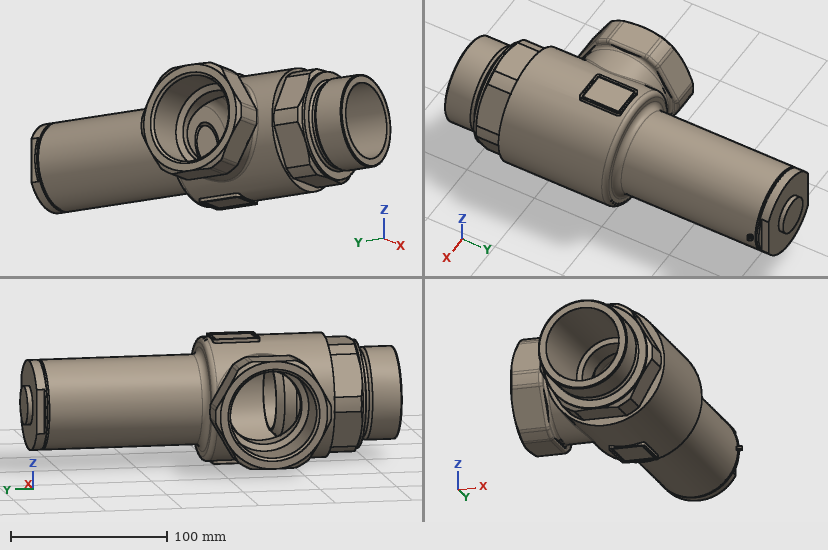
import cadquery as cq
import math


total_length = 241.0
thread_top = 19.3
relief_start = 21.2
relief_end = 23.1
collar_face = 24.8
hex_chamfer_start = 26.5
chamber_body_start = 46.0
chamber_body_end = 125.8
sleeve_end = 231.0
cap_flange_end = 232.5
cap_end = 237.6

thread_radius = 30.0
thread_chamfer = 0.7
relief_radius = 28.2
collar_root_radius = 29.6
body_radius = 40.0
body_rim_fillet = 3.4
sleeve_radius = 29.0
sleeve_root_fillet = 4.5
sleeve_chamfer = 1.2

hex_flats = 70.0
hex_corner_radius = 37.8
hex_chamfer_radius = 35.0
hex_chamfer_angle = math.radians(30)

inlet_bore_radius = 24.5
inlet_bore_depth = 62.7
orifice_radius = 20.7
chamber_radius = 32.5
chamber_floor = 62.7
chamber_roof = 120.3
chamber_roof_fillet = 7.2
nozzle_base_radius = 29.6
nozzle_shoulder = 68.7
nozzle_waist_radius = 26.3
nozzle_waist = 76.0
nozzle_tip_radius = 21.7
nozzle_tip = 80.5
guide_bore_radius = 14.7

branch_y = 91.0
branch_face_x = -67.0
branch_hex_length = 22.0
branch_hex_back_fillet = 2.2
branch_hex_edge_fillet = 5.3
branch_neck_radius = 32.3
branch_collar_fillet = 2.2
branch_root_fillet = 2.2
socket_mouth_radius = 30.0
socket_radius = 28.2
socket_depth = 27.7
socket_cone_angle = math.radians(27)
branch_bore_radius = 24.0

plate_width = 24.0
plate_length = 30.4
plate_y = 104.4
plate_face_z = 40.5
plate_thickness = 9.6
plate_corner_radius = 2.0
plate_border = 1.7
plate_recess = 0.7

cap_flats = 50.1
spindle_radius = 12.5
seal_ring_radius = 2.0
seal_ring_hole_radius = 1.0
seal_ring_thickness = 2.0
seal_ring_y = 227.3


def revolve_about_valve_axis(points):
    """Turn a closed (radius, y) outline around the valve axis."""
    return cq.Workplane("XY").polyline(points).close().revolve(360, (0, 0, 0), (0, 1, 0))


def cylinder_along_y(radius, start, end):
    return cq.Workplane("XZ", origin=(0, start, 0)).circle(radius).extrude(start - end)


def cylinder_along_x(radius, start, end):
    return cq.Workplane("YZ", origin=(start, branch_y, 0)).circle(radius).extrude(end - start)


def hex_prism(workplane, across_flats, length):
    """Sharp hexagon with two flats facing +Z and -Z."""
    across_corners = across_flats / math.cos(math.radians(30))
    return workplane.polygon(6, across_corners).extrude(length)


def hex_bar(workplane, length):
    """Wrench hexagon with its corners turned to a round."""
    hexagon = hex_prism(workplane, hex_flats, length)
    round_bar = workplane.circle(hex_corner_radius).extrude(length)
    return hexagon.intersect(round_bar)


def hex_chamfer_depth():
    return (hex_corner_radius - hex_chamfer_radius) * math.tan(hex_chamfer_angle)


def inlet_fitting():
    """Threaded inlet end, its thread relief and the chamfered hexagon."""
    turned = revolve_about_valve_axis([
        (0, 0),
        (thread_radius - thread_chamfer, 0),
        (thread_radius, thread_chamfer),
        (thread_radius, thread_top),
        (relief_radius, relief_start),
        (relief_radius, relief_end),
        (collar_root_radius, collar_face),
        (hex_chamfer_radius, collar_face),
        (hex_chamfer_radius, hex_chamfer_start),
        (0, hex_chamfer_start),
    ])
    hex_start = cq.Workplane("XZ", origin=(0, hex_chamfer_start, 0))
    hexagon = hex_bar(hex_start, hex_chamfer_start - chamber_body_start)
    chamfer_envelope = revolve_about_valve_axis([
        (0, hex_chamfer_start),
        (hex_chamfer_radius, hex_chamfer_start),
        (hex_corner_radius, hex_chamfer_start + hex_chamfer_depth()),
        (hex_corner_radius, chamber_body_start),
        (0, chamber_body_start),
    ])
    return turned.union(hexagon.intersect(chamfer_envelope))


def body_and_sleeve():
    """Round chamber body with the spring sleeve rising from it and the branch neck."""
    clearance = 2.5
    edge_tolerance = 0.2
    body = cylinder_along_y(body_radius, chamber_body_start, chamber_body_end)
    neck = cylinder_along_x(branch_neck_radius, branch_face_x + branch_hex_length, 0)
    body = body.faces(">Y").edges().fillet(body_rim_fillet)
    body = body.union(neck)
    joint = cq.selectors.BoxSelector(
        (-body_radius - clearance, branch_y - body_radius, -body_radius),
        (-clearance, branch_y + body_radius, body_radius),
    )
    body = body.edges(joint).fillet(branch_root_fillet)
    sleeve = cylinder_along_y(sleeve_radius, chamber_body_end, sleeve_end)
    sleeve = sleeve.faces(">Y").edges().chamfer(sleeve_chamfer)
    body = body.union(sleeve)
    root_reach = sleeve_radius + clearance
    root = cq.selectors.BoxSelector(
        (-root_reach, chamber_body_end - edge_tolerance, -root_reach),
        (root_reach, chamber_body_end + edge_tolerance, root_reach),
        boundingbox=True,
    )
    return body.edges(root).fillet(sleeve_root_fillet)


def branch_hexagon():
    face = cq.Workplane("YZ", origin=(branch_face_x, branch_y, 0))
    hexagon = hex_bar(face, branch_hex_length)
    hexagon = hexagon.edges("|X").fillet(branch_hex_edge_fillet)
    hexagon = hexagon.faces(">X").edges().fillet(branch_hex_back_fillet)
    chamfer_envelope = (
        cq.Workplane("XY")
        .polyline([
            (branch_face_x, branch_y),
            (branch_face_x, branch_y + hex_chamfer_radius),
            (branch_face_x + hex_chamfer_depth(), branch_y + hex_corner_radius),
            (branch_face_x + branch_hex_length, branch_y + hex_corner_radius),
            (branch_face_x + branch_hex_length, branch_y),
        ])
        .close()
        .revolve(360, (0, branch_y, 0), (1, branch_y, 0))
    )
    return hexagon.intersect(chamfer_envelope)


def branch_collar():
    """Hollow fillet between the hexagon's back face and the neck, cut to the outline of that face."""
    back_x = branch_face_x + branch_hex_length
    end_x = back_x + branch_collar_fillet
    neck_edge = branch_y + branch_neck_radius
    bend = branch_collar_fillet * (1 - math.sqrt(0.5))
    flare = (
        cq.Workplane("XY")
        .moveTo(back_x, branch_y)
        .lineTo(back_x, neck_edge + branch_collar_fillet)
        .threePointArc((back_x + bend, neck_edge + bend), (end_x, neck_edge))
        .lineTo(end_x, branch_y)
        .close()
        .revolve(360, (0, branch_y, 0), (1, branch_y, 0))
    )
    back_face = cq.Workplane("YZ", origin=(back_x, branch_y, 0))
    outline = hex_prism(back_face, hex_flats - 2 * branch_hex_back_fillet, branch_collar_fillet)
    return flare.intersect(outline)


def name_plate():
    """Plate standing on the +Z side of the body, with a raised border."""
    top = cq.Workplane("XY", origin=(0, plate_y, plate_face_z))
    block = top.rect(plate_width, plate_length).extrude(-plate_thickness)
    return block.edges("|Z").fillet(plate_corner_radius)


def name_plate_recess():
    top = cq.Workplane("XY", origin=(0, plate_y, plate_face_z))
    inner = top.rect(plate_width - 2 * plate_border, plate_length - 2 * plate_border)
    return inner.extrude(-plate_recess)


def inlet_passage():
    """Inlet bore narrowing to the orifice through the nozzle."""
    bore = cylinder_along_y(inlet_bore_radius, 0, inlet_bore_depth)
    return bore.union(cylinder_along_y(orifice_radius, 0, nozzle_tip))


def chamber():
    """Space around and above the nozzle, with a rounded roof."""
    space = cylinder_along_y(chamber_radius, chamber_floor, chamber_roof)
    return space.faces(">Y").edges().fillet(chamber_roof_fillet)


def nozzle():
    return revolve_about_valve_axis([
        (0, chamber_floor),
        (nozzle_base_radius, chamber_floor),
        (nozzle_base_radius, nozzle_shoulder),
        (nozzle_waist_radius, nozzle_waist),
        (nozzle_tip_radius, nozzle_tip),
        (0, nozzle_tip),
    ])


def outlet_passage():
    """Chamfered socket with a conical bottom, and the bore into the chamber."""
    mouth = socket_mouth_radius - socket_radius
    cone_length = (socket_radius - branch_bore_radius) * math.tan(socket_cone_angle)
    bore_end = -chamber_radius / 2
    socket_end = branch_face_x + socket_depth
    return (
        cq.Workplane("XY")
        .polyline([
            (branch_face_x, branch_y),
            (branch_face_x, branch_y + socket_mouth_radius),
            (branch_face_x + mouth, branch_y + socket_radius),
            (socket_end, branch_y + socket_radius),
            (socket_end + cone_length, branch_y + branch_bore_radius),
            (bore_end, branch_y + branch_bore_radius),
            (bore_end, branch_y),
        ])
        .close()
        .revolve(360, (0, branch_y, 0), (1, branch_y, 0))
    )


def make_housing():
    plate = name_plate()
    recess = name_plate_recess()
    branch_end = branch_hexagon().union(branch_collar())
    housing = body_and_sleeve().union(inlet_fitting()).union(branch_end)
    housing = housing.union(plate).union(plate.mirror("XY"))
    housing = housing.cut(recess).cut(recess.mirror("XY"))
    void = chamber().union(outlet_passage()).cut(nozzle()).union(inlet_passage())
    guide_bore = cylinder_along_y(guide_bore_radius, chamber_roof, sleeve_end)
    return housing.cut(void).cut(guide_bore)


def make_cap():
    """Round cap on the sleeve with two wrench flats facing +X and -X."""
    flange = cylinder_along_y(sleeve_radius, sleeve_end, cap_flange_end)
    head = cylinder_along_y(sleeve_radius, cap_flange_end, cap_end)
    flats = cq.Workplane("XZ", origin=(0, cap_flange_end, 0))
    flats = flats.rect(cap_flats, 2 * sleeve_radius).extrude(cap_flange_end - cap_end)
    spindle_hole = cylinder_along_y(spindle_radius, sleeve_end, cap_end)
    return flange.union(head.intersect(flats)).cut(spindle_hole)


def make_spindle():
    return cylinder_along_y(spindle_radius, chamber_roof, total_length)


def make_seal_ring():
    """Small ring resting against the sleeve on its +X side."""
    centre_x = sleeve_radius + seal_ring_radius
    plane = cq.Workplane("XY", origin=(centre_x, seal_ring_y, 0))
    disc = plane.circle(seal_ring_radius).circle(seal_ring_hole_radius)
    return disc.extrude(seal_ring_thickness / 2, both=True)


housing = make_housing()
cap = make_cap()
spindle = make_spindle()
seal_ring = make_seal_ring()

result = cq.Compound.makeCompound([
    housing.val(),
    cap.val(),
    spindle.val(),
    seal_ring.val(),
])